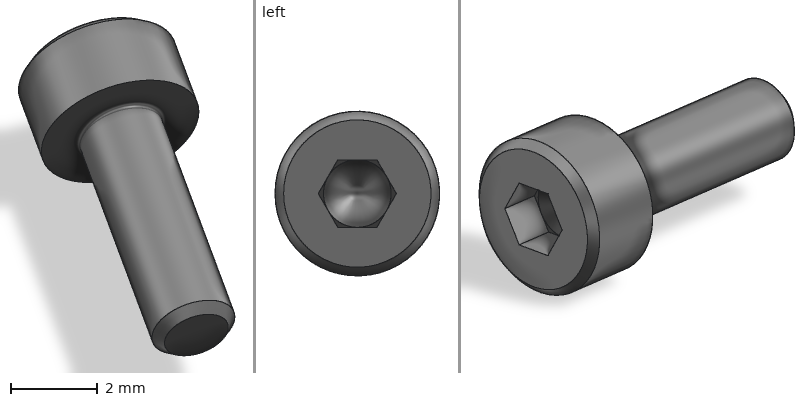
import cadquery as cq
import math

total_length = 8.0
head_diameter = 3.8
head_height = 2.0
head_chamfer = 0.2
shank_diameter = 2.0
tip_chamfer = 0.23
neck_fillet = 0.1
socket_across_flats = 1.56
socket_depth = 1.0
socket_cone_angle = 120.0

head_radius = head_diameter / 2
shank_radius = shank_diameter / 2


def make_body():
    """Revolve the half outline of head and shank about the X axis."""
    fillet_middle = neck_fillet * (1 - math.sqrt(0.5))
    return (
        cq.Workplane("XY")
        .moveTo(0, 0)
        .lineTo(0, head_radius - head_chamfer)
        .lineTo(head_chamfer, head_radius)
        .lineTo(head_height, head_radius)
        .lineTo(head_height, shank_radius + neck_fillet)
        .threePointArc(
            (head_height + fillet_middle, shank_radius + fillet_middle),
            (head_height + neck_fillet, shank_radius),
        )
        .lineTo(total_length - tip_chamfer, shank_radius)
        .lineTo(total_length, shank_radius - tip_chamfer)
        .lineTo(total_length, 0)
        .close()
        .revolve(360, (0, 0, 0), (1, 0, 0))
    )


def make_socket():
    """Hexagonal recess with two corners along Y and a conical bottom."""
    across_corners = socket_across_flats / math.cos(math.pi / 6)
    hexagon = cq.Workplane("YZ").polygon(6, across_corners).extrude(socket_depth)

    cone_radius = socket_across_flats / 2
    cone_height = cone_radius / math.tan(math.radians(socket_cone_angle / 2))
    cone = (
        cq.Workplane("XY")
        .moveTo(socket_depth, 0)
        .lineTo(socket_depth, cone_radius)
        .lineTo(socket_depth + cone_height, 0)
        .close()
        .revolve(360, (0, 0, 0), (1, 0, 0))
    )
    return hexagon.union(cone)


result = make_body().cut(make_socket())